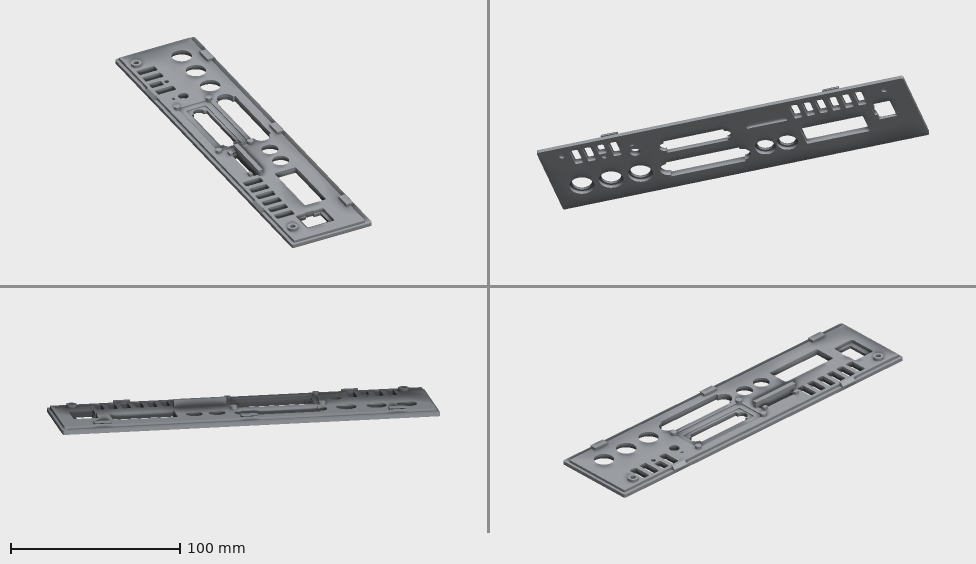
import cadquery as cq

LENGTH = 227.0
RIM_DEPTH = 53.3
RIM_TOP = 2.3
PANEL_TOP = 3.9
PANEL_SIDE_INSET = 1.7
PANEL_LOWER_Y = 2.0
PANEL_UPPER_INSET = 4.0
PANEL_UPPER_Y = RIM_DEPTH - PANEL_UPPER_INSET
RIM_CORNER_RADIUS = 1.1
ROOT = RIM_TOP
BOSS_TOP = 5.7

CLIP_WIDTH = 10.0
UPPER_CLIP_XS = (-88.5, 0.5, 88.8)
UPPER_CLIP_INNER_Y = 46.3
UPPER_CLIP_OVERHANG = 1.4
UPPER_CLIP_LIP = 0.35
UPPER_CLIP_STEM_TOP = 4.5
LOWER_CLIP_XS = (-68.5, 68.5)
LOWER_CLIP_TOP = 5.0
LOWER_CLIP_TOP_WIDTH = 1.0
LOWER_CLIP_OVERHANG = 0.7
LOWER_CLIP_NOSE = 0.7

LARGE_JACK_DIAMETER = 12.0
LARGE_JACK_XS = (-96.5, -78.3, -60.2)
LARGE_JACK_Y = 35.9
MEDIUM_JACK_DIAMETER = 10.0
MEDIUM_JACK_XS = (17.5, 31.0)
MEDIUM_JACK_Y = 35.2
JACK_COUNTERBORE_MARGIN = 1.4
JACK_COUNTERBORE_DEPTH = 2.3
SMALL_JACK_DIAMETER = 6.4
SMALL_JACK_CENTRE = (-57.5, 16.5)
PIN_SLOT_SIZE = (2.0, 1.4)
PIN_SLOT_CENTRE = (-57.5, 10.0)
INDICATOR_DIAMETER = 3.0
INDICATOR_Y = 15.0

SLOT_WIDTH = 5.0
SLOT_PITCH = 8.0
SLOT_LOWER_Y = 4.0
SLOT_CORNER_RADIUS = 1.0
LEFT_SLOT_COUNT = 4
LEFT_ROW_X = -80.0
LEFT_SLOT_HEIGHT = 12.3
SHORT_SLOT_INDEX = 2
SHORT_SLOT_HEIGHT = 8.2
RIGHT_SLOT_COUNT = 6
RIGHT_ROW_X = 64.0
RIGHT_SLOT_HEIGHT = 11.8

CONNECTOR_X = -20.5
UPPER_CONNECTOR_Y = 37.2
UPPER_CONNECTOR_SIZE = (45.9, 13.0)
UPPER_CONNECTOR_END_DIAMETER = 10.0
LOWER_CONNECTOR_Y = 17.5
LOWER_CONNECTOR_SIZE = (37.7, 10.5)
LOWER_CONNECTOR_END_DIAMETER = 6.8
FRAME_SIZE = (53.1, 21.0)
FRAME_DEPTH = 0.7
SEAT_SIZE = (45.9, 13.2)
SEAT_DEPTH = 1.4
PEG_DIAMETER = 3.9
PEG_SPACING = (53.1, 21.0)

WINDOW_CENTRE = (61.3, 32.57)
WINDOW_SIZE = (39.0, 14.3)
WINDOW_CORNER_RADIUS = 1.0

SOCKET_RECESS_CENTRE = (95.9, 24.3)
SOCKET_RECESS_SIZE = (15.0, 18.6)
SOCKET_RECESS_DEPTH = 2.0
SOCKET_RECESS_RADIUS = 1.1
SOCKET_LEFT_X = 89.5
SOCKET_SIZE = (10.7, 14.3)
SOCKET_NOTCH_DEPTH = 1.5
SOCKET_NOTCH_HEIGHT = 5.5

SCREW_X = 99.9
SCREW_Y = 7.3
SCREW_BOSS_DIAMETER = 6.4
SCREW_HOLE_DIAMETER = 3.5

WALL_CENTRE_X = 24.5
WALL_LENGTH = 31.8
WALL_FRONT_Y = 16.1
WALL_THICKNESS = 2.3
WALL_TOP = 8.0
WALL_LIP_OVERHANG = 0.57
WALL_LIP_HEIGHT = 1.0
TAPERED_SLOT_LOWER_Y = 12.3
TAPERED_SLOT_SHOULDER_Y = 13.8
TAPERED_SLOT_LOWER_LENGTH = 22.2
TAPERED_SLOT_UPPER_LENGTH = 25.0
NUB_SIZE = (3.0, 2.0)
NUB_SPACING = 25.2
NUB_UPPER_Y = 12.7
SLOT_RECESS_LENGTH = NUB_SPACING + NUB_SIZE[0]
SLOT_RECESS_DEPTH = 1.1


def block(centre, size, bottom, top):
    """Upright box given its centre and size in XY and its Z range."""
    return cq.Workplane("XY", origin=(*centre, bottom)).rect(*size).extrude(top - bottom)


def rounded_block(centre, size, radius, bottom, top):
    return block(centre, size, bottom, top).edges("|Z").fillet(radius)


def cylinder(centre, diameter, bottom, top):
    return cq.Workplane("XY", origin=(*centre, bottom)).circle(diameter / 2).extrude(top - bottom)


def bar_along_x(profile, centre_x, length):
    """Prism along X from a closed (Y, Z) profile."""
    start = cq.Workplane("YZ", origin=(centre_x - length / 2, 0, 0))
    return start.polyline(profile).close().extrude(length)


def row(centre_x, count):
    """X positions of a row of slots."""
    return [centre_x + (i - (count - 1) / 2) * SLOT_PITCH for i in range(count)]


def plate():
    rim = rounded_block((0, RIM_DEPTH / 2), (LENGTH, RIM_DEPTH), RIM_CORNER_RADIUS, 0, RIM_TOP)
    panel_size = (LENGTH - 2 * PANEL_SIDE_INSET, PANEL_UPPER_Y - PANEL_LOWER_Y)
    panel_centre = (0, (PANEL_UPPER_Y + PANEL_LOWER_Y) / 2)
    return rim.union(block(panel_centre, panel_size, 0, PANEL_TOP))


def upper_clip(x):
    """Clip whose top hooks outward past its stem."""
    nose_y = PANEL_UPPER_Y + UPPER_CLIP_OVERHANG
    profile = [
        (UPPER_CLIP_INNER_Y, ROOT),
        (UPPER_CLIP_INNER_Y, BOSS_TOP),
        (nose_y, BOSS_TOP),
        (nose_y, BOSS_TOP - UPPER_CLIP_LIP),
        (PANEL_UPPER_Y, UPPER_CLIP_STEM_TOP),
        (PANEL_UPPER_Y, ROOT),
    ]
    return bar_along_x(profile, x, CLIP_WIDTH)


def lower_clip(x):
    """Wedge on the panel's lower edge, sloping out over the rim."""
    profile = [
        (PANEL_LOWER_Y, RIM_TOP),
        (PANEL_LOWER_Y, LOWER_CLIP_TOP),
        (PANEL_LOWER_Y - LOWER_CLIP_TOP_WIDTH, LOWER_CLIP_TOP),
        (-LOWER_CLIP_OVERHANG, RIM_TOP + LOWER_CLIP_NOSE),
        (-LOWER_CLIP_OVERHANG, RIM_TOP),
    ]
    return bar_along_x(profile, x, CLIP_WIDTH)


def jack_hole(x, y, diameter):
    """Round hole, counterbored from the underside."""
    wide_diameter = diameter + 2 * JACK_COUNTERBORE_MARGIN
    counterbore = cylinder((x, y), wide_diameter, 0, JACK_COUNTERBORE_DEPTH)
    return cylinder((x, y), diameter, 0, PANEL_TOP).union(counterbore)


def slot(x, height):
    centre = (x, SLOT_LOWER_Y + height / 2)
    return rounded_block(centre, (SLOT_WIDTH, height), SLOT_CORNER_RADIUS, 0, PANEL_TOP)


def connector_opening(y, size, end_diameter):
    """Rectangle with a round lobe centred on each short side."""
    opening = block((CONNECTOR_X, y), size, 0, PANEL_TOP)
    for side in (-1, 1):
        lobe_centre = (CONNECTOR_X + side * size[0] / 2, y)
        opening = opening.union(cylinder(lobe_centre, end_diameter, 0, PANEL_TOP))
    return opening


def socket_opening():
    """Shallow recess with a notched opening through its floor."""
    recess = rounded_block(
        SOCKET_RECESS_CENTRE, SOCKET_RECESS_SIZE, SOCKET_RECESS_RADIUS,
        PANEL_TOP - SOCKET_RECESS_DEPTH, PANEL_TOP,
    )
    width, height = SOCKET_SIZE
    y = SOCKET_RECESS_CENTRE[1]
    opening = block((SOCKET_LEFT_X + width / 2, y), (width, height), 0, PANEL_TOP)
    notch_size = (2 * SOCKET_NOTCH_DEPTH, SOCKET_NOTCH_HEIGHT)
    notch = block((SOCKET_LEFT_X, y), notch_size, 0, PANEL_TOP)
    return recess.union(opening).union(notch)


def hooked_wall():
    """Upright wall with a small lip along its top front edge."""
    back_y = WALL_FRONT_Y + WALL_THICKNESS
    profile = [
        (WALL_FRONT_Y, ROOT),
        (back_y, ROOT),
        (back_y, WALL_TOP),
        (WALL_FRONT_Y - WALL_LIP_OVERHANG, WALL_TOP),
        (WALL_FRONT_Y - WALL_LIP_OVERHANG, WALL_TOP - WALL_LIP_HEIGHT),
        (WALL_FRONT_Y, WALL_TOP - WALL_LIP_HEIGHT),
    ]
    return bar_along_x(profile, WALL_CENTRE_X, WALL_LENGTH)


def tapered_slot():
    """Slot with bevelled lower corners, set in a shallow recess in front of the wall."""
    lower = TAPERED_SLOT_LOWER_LENGTH / 2
    upper = TAPERED_SLOT_UPPER_LENGTH / 2
    outline = [
        (WALL_CENTRE_X - lower, TAPERED_SLOT_LOWER_Y),
        (WALL_CENTRE_X + lower, TAPERED_SLOT_LOWER_Y),
        (WALL_CENTRE_X + upper, TAPERED_SLOT_SHOULDER_Y),
        (WALL_CENTRE_X + upper, WALL_FRONT_Y),
        (WALL_CENTRE_X - upper, WALL_FRONT_Y),
        (WALL_CENTRE_X - upper, TAPERED_SLOT_SHOULDER_Y),
    ]
    opening = cq.Workplane("XY").polyline(outline).close().extrude(PANEL_TOP)
    recess_centre = (WALL_CENTRE_X, (NUB_UPPER_Y + WALL_FRONT_Y) / 2)
    recess_size = (SLOT_RECESS_LENGTH, WALL_FRONT_Y - NUB_UPPER_Y)
    recess = block(recess_centre, recess_size, PANEL_TOP - SLOT_RECESS_DEPTH, PANEL_TOP)
    return opening.union(recess)


result = plate()

connector_centre = (CONNECTOR_X, LOWER_CONNECTOR_Y)
cuts = [
    block(connector_centre, FRAME_SIZE, PANEL_TOP - FRAME_DEPTH, PANEL_TOP),
    block(connector_centre, SEAT_SIZE, PANEL_TOP - SEAT_DEPTH, PANEL_TOP),
    connector_opening(LOWER_CONNECTOR_Y, LOWER_CONNECTOR_SIZE, LOWER_CONNECTOR_END_DIAMETER),
    connector_opening(UPPER_CONNECTOR_Y, UPPER_CONNECTOR_SIZE, UPPER_CONNECTOR_END_DIAMETER),
    rounded_block(WINDOW_CENTRE, WINDOW_SIZE, WINDOW_CORNER_RADIUS, 0, PANEL_TOP),
    socket_opening(),
    tapered_slot(),
    cylinder(SMALL_JACK_CENTRE, SMALL_JACK_DIAMETER, 0, PANEL_TOP),
    block(PIN_SLOT_CENTRE, PIN_SLOT_SIZE, 0, PANEL_TOP),
]
cuts += [jack_hole(x, LARGE_JACK_Y, LARGE_JACK_DIAMETER) for x in LARGE_JACK_XS]
cuts += [jack_hole(x, MEDIUM_JACK_Y, MEDIUM_JACK_DIAMETER) for x in MEDIUM_JACK_XS]
cuts += [slot(x, RIGHT_SLOT_HEIGHT) for x in row(RIGHT_ROW_X, RIGHT_SLOT_COUNT)]
for index, x in enumerate(row(LEFT_ROW_X, LEFT_SLOT_COUNT)):
    if index == SHORT_SLOT_INDEX:
        cuts.append(slot(x, SHORT_SLOT_HEIGHT))
        cuts.append(cylinder((x, INDICATOR_Y), INDICATOR_DIAMETER, 0, PANEL_TOP))
    else:
        cuts.append(slot(x, LEFT_SLOT_HEIGHT))
for cut in cuts:
    result = result.cut(cut)

additions = [upper_clip(x) for x in UPPER_CLIP_XS]
additions += [lower_clip(x) for x in LOWER_CLIP_XS]
additions.append(hooked_wall())
for side in (-1, 1):
    nub_centre = (WALL_CENTRE_X + side * NUB_SPACING / 2, NUB_UPPER_Y - NUB_SIZE[1] / 2)
    additions.append(block(nub_centre, NUB_SIZE, ROOT, BOSS_TOP))
    additions.append(cylinder((side * SCREW_X, SCREW_Y), SCREW_BOSS_DIAMETER, ROOT, BOSS_TOP))
    for end in (-1, 1):
        peg_centre = (
            CONNECTOR_X + side * PEG_SPACING[0] / 2,
            LOWER_CONNECTOR_Y + end * PEG_SPACING[1] / 2,
        )
        additions.append(cylinder(peg_centre, PEG_DIAMETER, ROOT, BOSS_TOP))
for addition in additions:
    result = result.union(addition)

for side in (-1, 1):
    result = result.cut(cylinder((side * SCREW_X, SCREW_Y), SCREW_HOLE_DIAMETER, 0, BOSS_TOP))